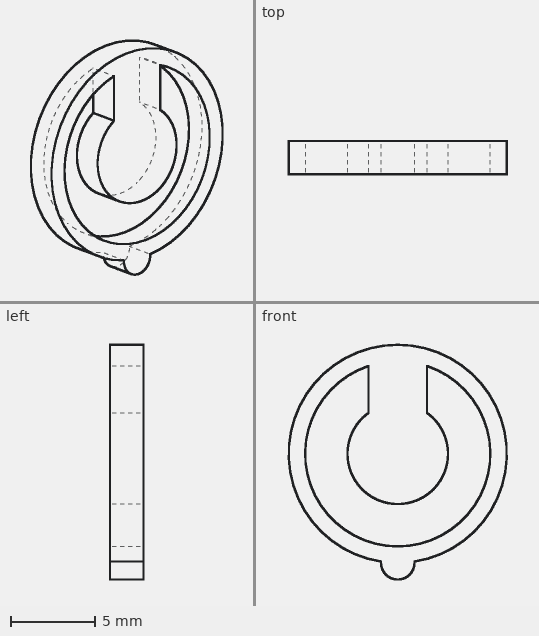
import cadquery as cq

total_height = 13.97
thickness = 2.0
ring_outer_diameter = 12.98
ring_inner_diameter = 11.0
disc_diameter = 6.0
stem_width = 3.5
tab_diameter = 2.0

ring_outer_radius = ring_outer_diameter / 2
ring_mid_radius = (ring_outer_diameter + ring_inner_diameter) / 4
tab_radius = tab_diameter / 2
tab_center_z = ring_outer_radius - total_height + tab_radius


def cylinder(diameter, center_z=0):
    """Flat disc with its axis along Y, centred on the XZ plane."""
    return (
        cq.Workplane("XZ")
        .center(0, center_z)
        .circle(diameter / 2)
        .extrude(thickness / 2, both=True)
    )


def upright_bar(width, bottom_z, top_z):
    """Rectangular bar centred on X, spanning the given heights."""
    height = top_z - bottom_z
    return cq.Workplane("XY").box(width, thickness, height).translate((0, 0, bottom_z + height / 2))


rim = cylinder(ring_outer_diameter)
tab = cylinder(tab_diameter, tab_center_z)
ring = rim.union(tab).cut(cylinder(ring_inner_diameter))

disc = cylinder(disc_diameter)
stem = upright_bar(stem_width, 0, ring_mid_radius)

result = ring.union(disc).union(stem)